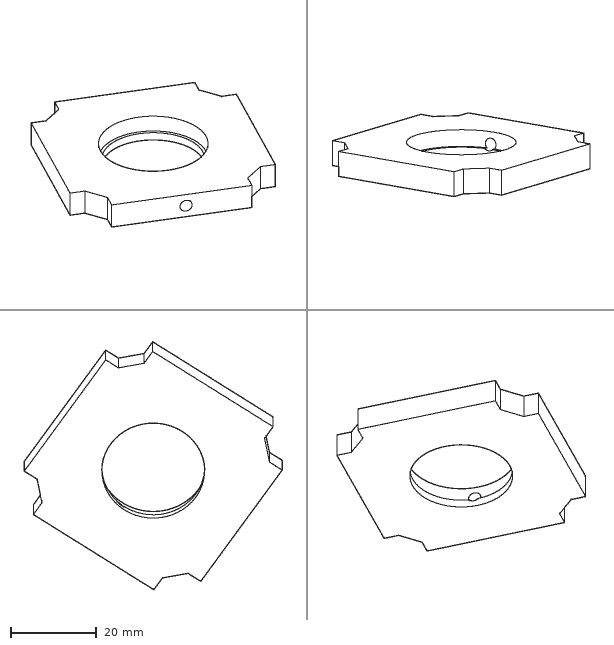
import cadquery as cq

plate_side = 49.8
plate_thickness = 6.0

edge_length = 34.0
notch_step = 3.6

bore_diameter = 24.0
recess_diameter = 25.6
ledge_height = 2.0

cross_hole_diameter = 2.9
cross_hole_y = 1.05
cross_hole_z = plate_thickness / 2


def make_plate():
    """Square plate with the same cutout at all four corners, underside at Z = 0."""
    outer = plate_side / 2
    edge_end = edge_length / 2
    wall_end = outer - notch_step
    corner_points = [
        (outer, edge_end),
        (wall_end, edge_end),
        (edge_end, wall_end),
        (edge_end, outer),
    ]
    outline = []
    for _ in range(4):
        outline.extend(corner_points)
        corner_points = [(-y, x) for x, y in corner_points]
    return cq.Workplane("XY").polyline(outline).close().extrude(plate_thickness)


def make_stepped_bore():
    """Through bore with a slightly wider recess open to the top face."""
    bore = cq.Workplane("XY").circle(bore_diameter / 2).extrude(plate_thickness)
    recess = (
        cq.Workplane("XY", origin=(0, 0, ledge_height))
        .circle(recess_diameter / 2)
        .extrude(plate_thickness - ledge_height)
    )
    return bore.union(recess)


def make_cross_hole():
    """Cylinder parallel to X, starting inside the bore and leaving at the +X side."""
    return (
        cq.Workplane("YZ", origin=(0, cross_hole_y, cross_hole_z))
        .circle(cross_hole_diameter / 2)
        .extrude(plate_side / 2)
    )


result = make_plate().cut(make_stepped_bore()).cut(make_cross_hole())